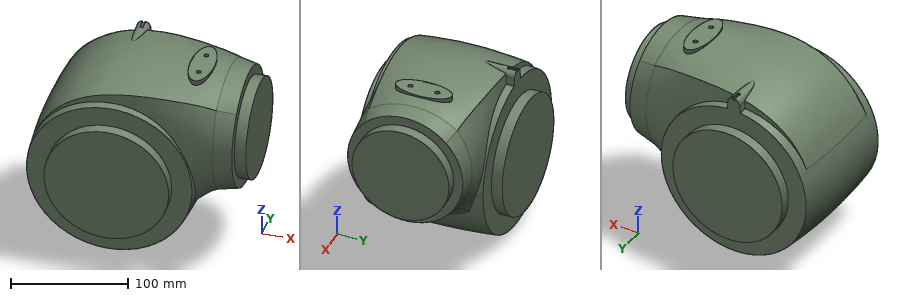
import math
import cadquery as cq

BARREL_WIDTH = 115.0
BARREL_CROWN_RADIUS = 76.13
BARREL_END_RADIUS = 73.0
BOSS_RADIUS = 55.0
BOSS_LENGTH = 10.0

NECK_AXIS_Z = 35.0
NECK_START_X = 90.0
NECK_END_X = 107.0
NECK_START_RADIUS = 54.8
NECK_END_RADIUS = 53.6
NECK_START_CREASE = 41.0
SPIGOT_RADIUS = 45.0
SPIGOT_LENGTH = 10.0

ELBOW_START_ANGLE = 159.4
ELBOW_START_DEPTH = 0.2
ELBOW_START_SHAPE = {"keel": (30, -40), "rise": 2.2, "crease": 48.2, "side": 49.5}

ELBOW_BACK = {"crown": (-44.6, 66.2), "keel": (36, -42), "rise": 3.2, "crease": 48.5, "side": 50.2}
ELBOW_TOP = {"crown": (0, 87.6), "keel": (48, -44), "rise": 5.5, "crease": 49.5, "side": 52.0}
ELBOW_SHOULDER = {"crown": (45, 92.0), "keel": (64, -37), "rise": 9.0, "crease": 46.5, "side": 55.0}
ELBOW_THROAT = {"crown": (70, 91.8), "keel": (76.5, -26.8), "rise": 11.5, "crease": 43.5, "side": 55.8}

PAD_X = 67.0
PAD_TOP_Z = 92.83
PAD_HALF_X = 10.8
PAD_HALF_Y = 26.0
PAD_DEPTH = 12.0
PAD_HOLE_SPACING = 25.0
PAD_HOLE_DIAMETER = 4.0
PAD_HOLE_DEPTH = 5.0

FIN_TOP_Z = 85.8
FIN_SHOULDER_Z = 80.4
FIN_FOOT_Z = 70.0
FIN_SHOULDER_HALF = 6.0
FIN_FOOT_HALF = 7.0
FIN_LENGTH = 40.0
FIN_SLOT_WIDTH = 2.5
FIN_SLOT_LENGTH = 8.8
FIN_SLOT_DEPTH = 1.5


def make_barrel():
    half = BARREL_WIDTH / 2
    drum = (
        cq.Workplane("XY")
        .moveTo(0, -half)
        .lineTo(BARREL_END_RADIUS, -half)
        .threePointArc((BARREL_CROWN_RADIUS, 0), (BARREL_END_RADIUS, half))
        .lineTo(0, half)
        .close()
        .revolve(360, (0, 0, 0), (0, 1, 0))
    )
    reach = half + BOSS_LENGTH
    bosses = cq.Workplane("XZ").circle(BOSS_RADIUS).extrude(reach, both=True)
    return drum.union(bosses)


def elbow_section(crown, keel, rise, crease, side):
    """Closed four-arc section in the plane that holds Y and the line from crown to keel.

    crown, keel: (x, z) of the top and bottom points on the symmetry plane
    rise: distance from the crown (or keel) to the level of the corner creases
    crease, side: half widths at the creases and at mid height
    """
    height = math.dist(crown, keel)

    def point(drop, y):
        t = drop / height
        x = crown[0] + t * (keel[0] - crown[0])
        z = crown[1] + t * (keel[1] - crown[1])
        return cq.Vector(x, y, z)

    low = height - rise
    arcs = [
        ((rise, -crease), (0, 0), (rise, crease)),
        ((rise, crease), (height / 2, side), (low, crease)),
        ((low, crease), (height, 0), (low, -crease)),
        ((low, -crease), (height / 2, -side), (rise, -crease)),
    ]
    edges = [cq.Edge.makeThreePointArc(*[point(*p) for p in arc]) for arc in arcs]
    return cq.Wire.assembleEdges(edges)


def neck_section(x, radius, crease):
    crown = (x, NECK_AXIS_Z + radius)
    keel = (x, NECK_AXIS_Z - radius)
    return elbow_section(crown, keel, radius - crease, crease, radius)


def make_elbow():
    angle = math.radians(ELBOW_START_ANGLE)
    start_radius = BARREL_CROWN_RADIUS - ELBOW_START_DEPTH
    start_crown = (start_radius * math.cos(angle), start_radius * math.sin(angle))
    neck_start = neck_section(NECK_START_X, NECK_START_RADIUS, NECK_START_CREASE)
    neck_end_crease = NECK_END_RADIUS * math.cos(math.radians(45))
    neck_end = neck_section(NECK_END_X, NECK_END_RADIUS, neck_end_crease)
    sections = [
        elbow_section(crown=start_crown, **ELBOW_START_SHAPE),
        elbow_section(**ELBOW_BACK),
        elbow_section(**ELBOW_TOP),
        elbow_section(**ELBOW_SHOULDER),
        elbow_section(**ELBOW_THROAT),
        neck_start,
    ]
    bend = cq.Workplane(cq.Solid.makeLoft(sections))
    neck = cq.Workplane(cq.Solid.makeLoft([neck_start, neck_end], True))
    spigot = (
        cq.Workplane("YZ", origin=(NECK_START_X, 0, NECK_AXIS_Z))
        .circle(SPIGOT_RADIUS)
        .extrude(NECK_END_X + SPIGOT_LENGTH - NECK_START_X)
    )
    return bend.union(neck).union(spigot)


def make_pad():
    return (
        cq.Workplane("XY", origin=(PAD_X, 0, PAD_TOP_Z))
        .ellipse(PAD_HALF_X, PAD_HALF_Y)
        .extrude(-PAD_DEPTH)
    )


def make_pad_holes():
    return (
        cq.Workplane("XY", origin=(PAD_X, 0, PAD_TOP_Z))
        .rarray(1, PAD_HOLE_SPACING, 1, 2)
        .circle(PAD_HOLE_DIAMETER / 2)
        .extrude(-PAD_HOLE_DEPTH)
    )


def make_fin():
    return (
        cq.Workplane("XZ", origin=(0, BARREL_WIDTH / 2, 0))
        .moveTo(-FIN_FOOT_HALF, FIN_FOOT_Z)
        .lineTo(-FIN_SHOULDER_HALF, FIN_SHOULDER_Z)
        .threePointArc((0, FIN_TOP_Z), (FIN_SHOULDER_HALF, FIN_SHOULDER_Z))
        .lineTo(FIN_FOOT_HALF, FIN_FOOT_Z)
        .close()
        .extrude(FIN_LENGTH)
    )


def make_fin_slot():
    rim_y = BARREL_WIDTH / 2
    return (
        cq.Workplane("XY", origin=(0, rim_y - FIN_SLOT_LENGTH / 2, FIN_TOP_Z))
        .rect(FIN_SLOT_WIDTH, FIN_SLOT_LENGTH)
        .extrude(-FIN_SLOT_DEPTH)
    )


result = (
    make_barrel()
    .union(make_elbow())
    .union(make_pad())
    .union(make_fin())
    .cut(make_pad_holes())
    .cut(make_fin_slot())
)